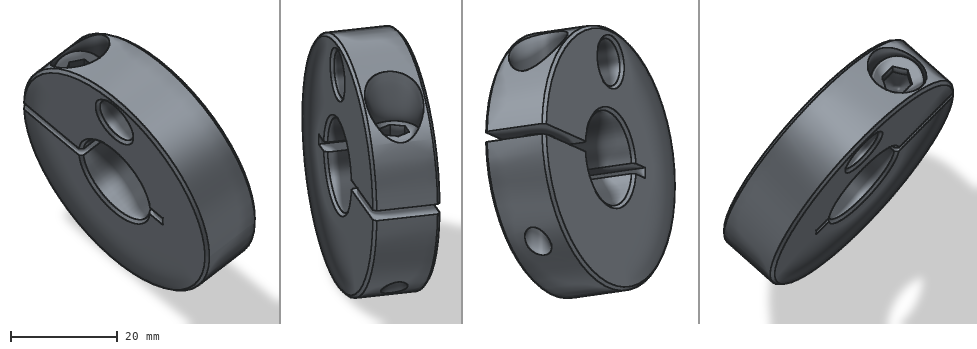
import cadquery as cq
import math

COLLAR_DIAMETER = 50.0
COLLAR_WIDTH = 13.0
BORE_DIAMETER = 18.0
EDGE_CHAMFER = 0.6

SIDE_HOLE_DIAMETER = 9.0
SIDE_HOLE_HEIGHT = 18.5

SLOT_WIDTH = 2.0
SLOT_END_X = 13.0

SCREW_X = -16.0
SHANK_DIAMETER = 6.0
SHANK_LENGTH = 16.0
HEAD_DIAMETER = 10.0
HEAD_HEIGHT = 6.0
HEAD_FILLET = 0.6
SOCKET_FLATS = 5.0
SOCKET_DEPTH = 3.0
SOCKET_CONE_DEPTH = 1.65

COUNTERBORE_DIAMETER = 11.0
SEAT_Z = 7.0
TAP_HOLE_DIAMETER = 5.0

SHANK_END_Z = SEAT_Z - SHANK_LENGTH
HEAD_TOP_Z = SEAT_Z + HEAD_HEIGHT
SOCKET_FLOOR_Z = HEAD_TOP_Z - SOCKET_DEPTH
SOCKET_CORNERS = SOCKET_FLATS / math.cos(math.pi / 6)


def screw_axis_cylinder(diameter, bottom_z, top_z):
    """Cylinder on the screw axis between two heights."""
    return (
        cq.Workplane("XY", origin=(SCREW_X, 0, bottom_z))
        .circle(diameter / 2)
        .extrude(top_z - bottom_z)
    )


def make_collar():
    """Chamfered ring with side hole, clamping slot and stepped screw hole."""
    collar = (
        cq.Workplane("XZ", origin=(0, COLLAR_WIDTH / 2, 0))
        .circle(COLLAR_DIAMETER / 2)
        .circle(BORE_DIAMETER / 2)
        .extrude(COLLAR_WIDTH)
    )
    side_hole = (
        cq.Workplane("XZ", origin=(0, COLLAR_WIDTH / 2, 0))
        .center(0, SIDE_HOLE_HEIGHT)
        .circle(SIDE_HOLE_DIAMETER / 2)
        .extrude(COLLAR_WIDTH)
    )
    collar = collar.cut(side_hole).faces("<Y or >Y").edges().chamfer(EDGE_CHAMFER)

    slot_start_x = -COLLAR_DIAMETER / 2
    slot = (
        cq.Workplane("XY")
        .box(SLOT_END_X - slot_start_x, COLLAR_WIDTH, SLOT_WIDTH)
        .translate(((slot_start_x + SLOT_END_X) / 2, 0, 0))
    )
    counterbore = screw_axis_cylinder(COUNTERBORE_DIAMETER, SEAT_Z, COLLAR_DIAMETER / 2)
    shank_hole = screw_axis_cylinder(SHANK_DIAMETER, SHANK_END_Z, SEAT_Z)
    tap_hole = screw_axis_cylinder(TAP_HOLE_DIAMETER, -COLLAR_DIAMETER / 2, SHANK_END_Z)
    return collar.cut(slot).cut(counterbore).cut(shank_hole).cut(tap_hole)


def make_screw():
    """Socket head cap screw with a hexagon socket ending in a shallow cone."""
    head = screw_axis_cylinder(HEAD_DIAMETER, SEAT_Z, HEAD_TOP_Z).faces(">Z").edges().fillet(HEAD_FILLET)
    shank = screw_axis_cylinder(SHANK_DIAMETER, SHANK_END_Z, SEAT_Z)
    hexagon = (
        cq.Workplane("XY", origin=(SCREW_X, 0, SOCKET_FLOOR_Z))
        .polygon(6, SOCKET_CORNERS)
        .extrude(SOCKET_DEPTH)
    )
    cone = cq.Workplane(
        cq.Solid.makeCone(
            SOCKET_CORNERS / 2,
            0,
            SOCKET_CONE_DEPTH,
            pnt=cq.Vector(SCREW_X, 0, SOCKET_FLOOR_Z),
            dir=cq.Vector(0, 0, -1),
        )
    )
    cone = cone.intersect(hexagon.translate((0, 0, -SOCKET_DEPTH)))
    return head.union(shank).cut(hexagon).cut(cone)


collar = make_collar()
screw = make_screw()
result = cq.Compound.makeCompound([collar.val(), screw.val()])